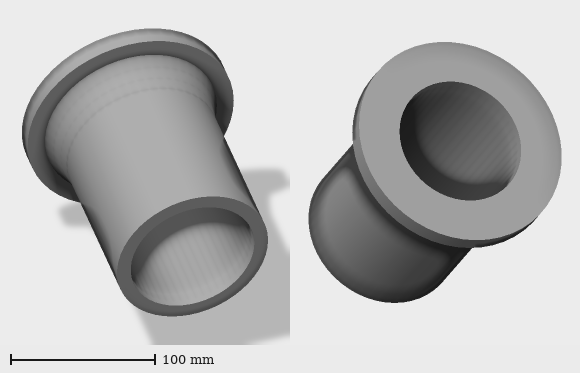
import cadquery as cq
import math

total_length = 155.5
flange_diameter = 150.0
flange_thickness = 13.5
pipe_diameter = 110.0
bore_diameter = 90.0
neck_root_diameter = 125.0
neck_land_length = 0.8
neck_end = 40.5
neck_arc_sag = 1.1

flange_radius = flange_diameter / 2
pipe_radius = pipe_diameter / 2
bore_radius = bore_diameter / 2
neck_root_radius = neck_root_diameter / 2
neck_start = flange_thickness + neck_land_length

neck_run = neck_end - neck_start
neck_drop = neck_root_radius - pipe_radius
neck_chord = math.hypot(neck_run, neck_drop)
neck_mid_x = (neck_start + neck_end) / 2 - neck_arc_sag * neck_drop / neck_chord
neck_mid_radius = (neck_root_radius + pipe_radius) / 2 - neck_arc_sag * neck_run / neck_chord

half_section = (
    cq.Workplane("XY")
    .moveTo(0, bore_radius)
    .lineTo(total_length, bore_radius)
    .lineTo(total_length, pipe_radius)
    .lineTo(neck_end, pipe_radius)
    .threePointArc((neck_mid_x, neck_mid_radius), (neck_start, neck_root_radius))
    .lineTo(flange_thickness, neck_root_radius)
    .lineTo(flange_thickness, flange_radius)
    .lineTo(0, flange_radius)
    .close()
)

result = half_section.revolve(360, (0, 0, 0), (1, 0, 0))